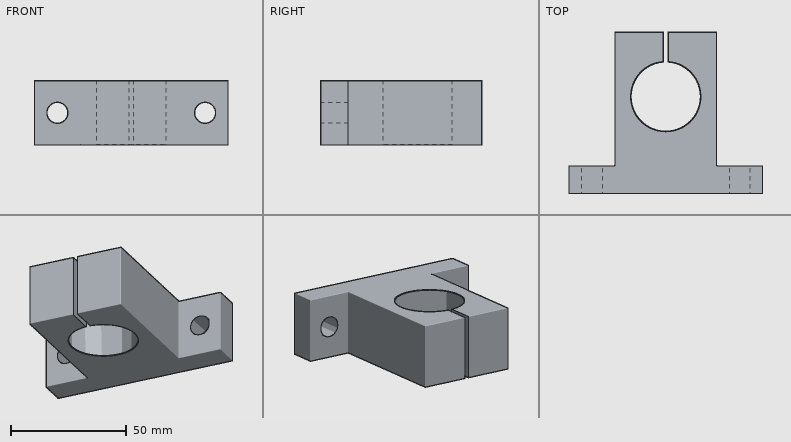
import cadquery as cq

length = 84.0
depth = 70.0
height = 28.0
flange_thickness = 12.0
stem_width = 44.0
bore_diameter = 30.0
bore_offset = 42.0
slot_width = 2.0
bolt_diameter = 9.0
bolt_spacing = 64.0
edge_radius = 0.25
bore_chamfer = 0.25


def block(width, y_length):
    """Full-height block centred on X and Z, reaching from Y = 0 to y_length."""
    return cq.Workplane("XY").box(width, y_length, height, centered=(True, False, True))


body = block(length, flange_thickness).union(block(stem_width, depth)).clean()

rounded_edges = [edge for edge in body.edges().vals() if edge.Center().y > edge_radius]
body = body.newObject(rounded_edges).fillet(edge_radius)

bore = (
    cq.Workplane("XY", origin=(0, bore_offset, -height / 2))
    .circle(bore_diameter / 2)
    .extrude(height)
)
body = body.cut(bore)
body = body.faces("|Z").edges("%CIRCLE").chamfer(bore_chamfer)

slot = block(slot_width, depth - bore_offset).translate((0, bore_offset, 0))
body = body.cut(slot)

bolt_holes = (
    cq.Workplane("XZ")
    .pushPoints([(-bolt_spacing / 2, 0), (bolt_spacing / 2, 0)])
    .circle(bolt_diameter / 2)
    .extrude(-flange_thickness)
)
result = body.cut(bolt_holes)